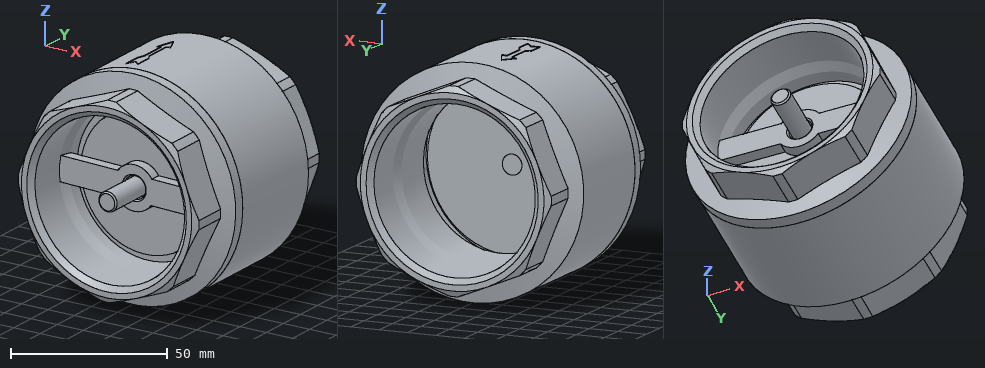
import cadquery as cq
import math


body_radius = 39.25
half_length = 36.5
shoulder_y = 21.35
shoulder_slope = 15.0
joint_y = -17.2

nut_corner_radius = 34.4
nut_flat_distance = 32.35
nut_sides = 8
nut_chamfer_length = 1.2
cap_turn = 2.1

socket_radius = 28.4
socket_mouth_radius = 30.3
socket_bottom_y = 20.25
seat_taper_length = 4.0

seat_radius = 27.25
seat_y = -11.7
spigot_radius = 31.8
chamber_end_y = 0.0

bar_width = 9.0
boss_radius = 7.9
guide_hole_radius = 4.0
guide_hole_chamfer = 0.55

seal_radius = 29.8
seal_thickness = 3.15
disc_radius = 24.5
disc_thickness = 2.05
stem_radius = 3.45
stem_chamfer = 0.55
stem_tip_y = -36.2

arrow_x = -5.7
arrow_depth = 0.2
arrow_tip_y = 11.8
arrow_head_end_y = 5.9
arrow_shaft_end_y = -4.2
arrow_tail_start_y = -6.1
arrow_notch_y = -10.5
arrow_tail_end_y = -12.7
arrow_head_half_width = 2.6
arrow_shaft_half_width = 0.95
arrow_tail_half_width = 2.2

shoulder_length = (body_radius - nut_flat_distance) * math.tan(math.radians(shoulder_slope))
socket_mouth_chamfer = socket_mouth_radius - socket_radius
bar_back_y = -socket_bottom_y + seat_taper_length
seal_back_y = seat_y + seal_thickness
disc_front_y = seat_y - disc_thickness


def turned(profile):
    """Solid of revolution about Y from (radius, y) points."""
    return cq.Workplane("XY").polyline(profile).close().revolve(360, (0, 0, 0), (0, 1, 0))


def cylinder(radius, y_start, y_end):
    """Round bar along Y."""
    return turned([(0, y_start), (radius, y_start), (radius, y_end), (0, y_end)])


def round_body(y_start):
    """Full-diameter part from y_start towards +Y, ending in the tapered shoulder."""
    return turned([
        (0, y_start),
        (body_radius, y_start),
        (body_radius, shoulder_y),
        (nut_flat_distance, shoulder_y + shoulder_length),
        (0, shoulder_y + shoulder_length),
    ])


def wrench_end():
    """Octagonal end at +Y with corners rounded to a cylinder and a chamfered rim."""
    corner_distance = nut_flat_distance / math.cos(math.pi / nut_sides)
    octagon = (
        cq.Workplane("XZ", origin=(0, half_length, 0))
        .polygon(nut_sides, 2 * corner_distance)
        .extrude(half_length - shoulder_y)
    )
    envelope = turned([
        (0, shoulder_y),
        (nut_corner_radius, shoulder_y),
        (nut_corner_radius, half_length - nut_chamfer_length),
        (nut_flat_distance, half_length),
        (0, half_length),
    ])
    return octagon.intersect(envelope)


def bore():
    """Chamfered thread socket at +Y, tapering down to the seat bore that runs to mid-length."""
    return turned([
        (0, 0),
        (seat_radius, 0),
        (seat_radius, socket_bottom_y - seat_taper_length),
        (socket_radius, socket_bottom_y),
        (socket_radius, half_length - socket_mouth_chamfer),
        (socket_mouth_radius, half_length),
        (0, half_length),
    ])


def flow_arrow():
    """Arrow-shaped cutter whose floor follows the round body at arrow_depth."""
    right_side = [
        (arrow_head_half_width, arrow_head_end_y),
        (arrow_shaft_half_width, arrow_head_end_y),
        (arrow_shaft_half_width, arrow_shaft_end_y),
        (arrow_tail_half_width, arrow_tail_start_y),
        (arrow_tail_half_width, arrow_tail_end_y),
    ]
    left_side = [(-x, y) for x, y in reversed(right_side)]
    outline = [(0, arrow_tip_y), *right_side, (0, arrow_notch_y), *left_side]
    prism = (
        cq.Workplane("XY")
        .polyline([(arrow_x + x, y) for x, y in outline])
        .close()
        .extrude(body_radius)
    )
    return prism.cut(cylinder(body_radius - arrow_depth, joint_y, shoulder_y))


def make_housing():
    chamber = cylinder(spigot_radius, joint_y, chamber_end_y)
    shell = round_body(joint_y).union(wrench_end())
    return shell.cut(bore()).cut(chamber).cut(flow_arrow())


def make_guide_bar():
    """Cross bar with a round boss, reaching into the wall of the cap, and its stem hole."""
    thickness = bar_back_y + socket_bottom_y
    back_face = cq.Workplane("XZ", origin=(0, bar_back_y, 0))
    bar = back_face.rect(2 * nut_flat_distance, bar_width).extrude(thickness)
    bar = bar.intersect(cylinder(socket_radius, -socket_bottom_y, bar_back_y))
    boss = back_face.circle(boss_radius).extrude(thickness)
    hole = turned([
        (0, bar_back_y),
        (guide_hole_radius, bar_back_y),
        (guide_hole_radius, guide_hole_chamfer - socket_bottom_y),
        (guide_hole_radius + guide_hole_chamfer, -socket_bottom_y),
        (0, -socket_bottom_y),
    ])
    return bar.union(boss).cut(hole)


def make_cap():
    shell = round_body(-joint_y).union(wrench_end()).mirror("XZ")
    shell = shell.union(cylinder(spigot_radius, joint_y, seat_y))
    shell = shell.cut(bore().mirror("XZ"))
    return shell.union(make_guide_bar()).rotate((0, 0, 0), (0, 1, 0), cap_turn)


def make_seal():
    return cylinder(seal_radius, seat_y, seal_back_y).cut(cylinder(stem_radius, seat_y, seal_back_y))


def make_disc():
    return cylinder(disc_radius, disc_front_y, seat_y).cut(cylinder(stem_radius, disc_front_y, seat_y))


def make_stem():
    return cylinder(stem_radius, stem_tip_y, seal_back_y).faces("<Y").chamfer(stem_chamfer)


housing = make_housing()
cap = make_cap()
seal = make_seal()
disc = make_disc()
stem = make_stem()

result = cq.Compound.makeCompound([housing.val(), cap.val(), seal.val(), disc.val(), stem.val()])